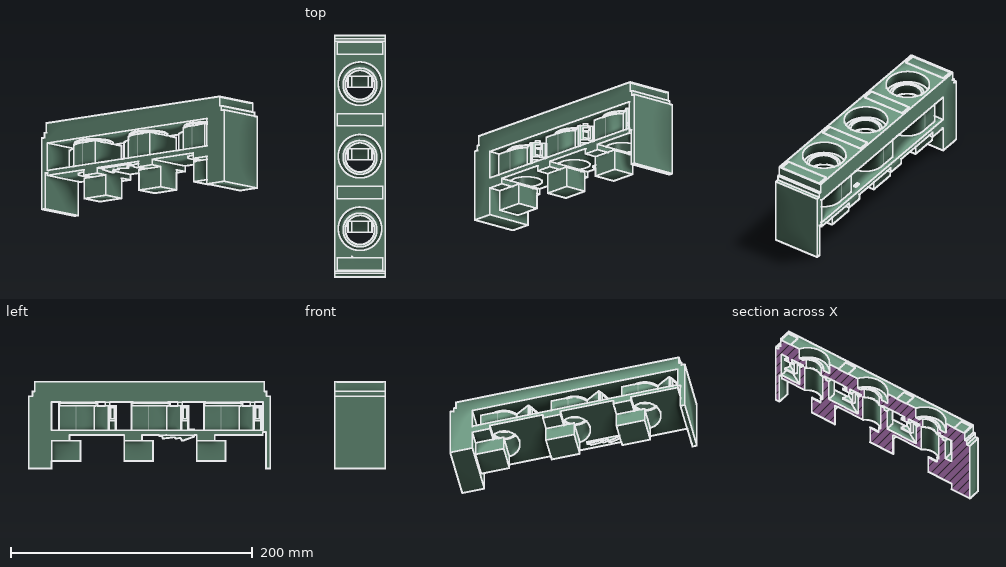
import cadquery as cq
import math

WIDTH = 42.0
LENGTH = 200.0
HEIGHT = 72.0

LID_LENGTH = 190.0
STEP_LENGTH = 194.0
LID_STEP_Z = 64.0
WALL_TOP_Z = 60.0
BACK_WALL_THICKNESS = 19.0
FRONT_WALL_THICKNESS = 3.8
FRONT_WINDOW_Y = -93.8
FRONT_GAP_TOP_Z = 30.2

LID_BOTTOM_Z = 55.0
SHELF_TOP_Z = 32.0
SHELF_BOTTOM_Z = 27.8

STATION_PITCH = 60.0
STATION_YS = [STATION_PITCH, 0.0, -STATION_PITCH]
HOLDER_OFFSET_Y = -1.0

FOOT_BACK_Y = 21.0
FOOT_LENGTH = 24.0
FOOT_WIDTH = 20.0
FOOT_BOTTOM_Z = 6.2
NECK_LENGTH = 15.0
NECK_BOTTOM_Z = 23.2
FOOT_GROOVE_WIDTH = 14.0
FOOT_GROOVE_DEPTH = 0.5

POCKET_DIAMETER = 36.0
POCKET_FLOOR_Z = 61.5
LABEL_WIDTH = 38.0
LABEL_LENGTH = 10.0
LABEL_DEPTH = 0.5
END_LABEL_Y = 89.2
INNER_LABEL_Y = STATION_PITCH / 2

BODY_RADIUS = 16.8
BODY_TOP_Z = 52.0
BODY_BACK_Y = 15.0
BODY_CREASE_Y = 1.0
COLLAR_DIAMETER = 32.0
COLLAR_TOP_Z = 54.0
RING_DIAMETER = 29.0
RIM_DIAMETER = 28.0
RIM_TOP_Z = 63.5
BORE_DIAMETER = 24.0
LOWER_BORE_DIAMETER = 26.0

CHANNEL_ANGLE = 30.0
CHANNEL_END_X = -11.2
CHANNEL_END_Y = -29.2
CHANNEL_WIDTH = 13.8
CHANNEL_LENGTH = 18.0
FIN_THICKNESS = 1.5
CAGE_BOTTOM_Z = 39.8
CAGE_LENGTH = 8.0
CAGE_OVERHANG = 0.5
CAGE_WALL = 1.5
CAGE_SIDE_WALL = 2.5
SCREW_DIAMETER = 4.0
SCREW_SETBACK = 4.5

RIB_THICKNESS = 2.0
RIB_X = 14.0
RIB_OUTLINE = [
    (-32.5, 32.8),
    (-37.2, 32.8),
    (-37.2, 26.5),
    (-27.8, 23.2),
    (-26.8, 23.2),
    (-25.5, 25.5),
    (-21.5, 24.8),
    (-20.5, 26.0),
    (-11.0, 24.8),
    (-10.5, 26.8),
    (-8.0, 26.8),
    (-8.0, 30.0),
    (-32.5, 30.0),
]


def block(x_range, y_range, z_range):
    """Axis-aligned box between the given limits."""
    size = [high - low for low, high in (x_range, y_range, z_range)]
    return cq.Workplane("XY").box(*size, centered=False).translate((x_range[0], y_range[0], z_range[0]))


def cylinder(diameter, center, z_low, z_high):
    """Upright cylinder between two heights."""
    return (
        cq.Workplane("XY", origin=(center[0], center[1], z_low))
        .circle(diameter / 2)
        .extrude(z_high - z_low)
    )


def centered(width):
    return (-width / 2, width / 2)


def housing():
    full_width = centered(WIDTH)
    front_y = -LENGTH / 2
    window_back_y = LENGTH / 2 - BACK_WALL_THICKNESS
    gap_front_y = front_y + FRONT_WALL_THICKNESS

    shell = block(full_width, centered(LENGTH), (0, WALL_TOP_Z))
    shell = shell.union(block(full_width, centered(STEP_LENGTH), (LID_BOTTOM_Z, LID_STEP_Z)))
    shell = shell.union(block(full_width, centered(LID_LENGTH), (LID_BOTTOM_Z, HEIGHT)))
    window = block(full_width, (FRONT_WINDOW_Y, window_back_y), (SHELF_TOP_Z, LID_BOTTOM_Z))
    underside = block(full_width, (FRONT_WINDOW_Y, window_back_y), (0, SHELF_BOTTOM_Z))
    front_gap = block(full_width, (gap_front_y, FRONT_WINDOW_Y), (0, FRONT_GAP_TOP_Z))
    shell = shell.cut(window).cut(underside).cut(front_gap)

    for y in (END_LABEL_Y, INNER_LABEL_Y, -INNER_LABEL_Y, -END_LABEL_Y):
        label_y = (y - LABEL_LENGTH / 2, y + LABEL_LENGTH / 2)
        shell = shell.cut(block(centered(LABEL_WIDTH), label_y, (HEIGHT - LABEL_DEPTH, HEIGHT)))
    return shell


def foot():
    """Neck of full width with a narrower foot that reaches further forward."""
    foot_y = (FOOT_BACK_Y - FOOT_LENGTH, FOOT_BACK_Y)
    neck_y = (FOOT_BACK_Y - NECK_LENGTH, FOOT_BACK_Y)
    neck = block(centered(WIDTH), neck_y, (NECK_BOTTOM_Z, SHELF_BOTTOM_Z))
    lug = block(centered(FOOT_WIDTH), foot_y, (FOOT_BOTTOM_Z, NECK_BOTTOM_Z))
    groove_z = (NECK_BOTTOM_Z - FOOT_GROOVE_DEPTH, NECK_BOTTOM_Z)
    groove = block(centered(FOOT_GROOVE_WIDTH), (foot_y[0], neck_y[0]), groove_z)
    return neck.union(lug.cut(groove))


def screw_terminal():
    """Built along Y with its open end at the origin, then turned and moved into place."""
    channel_z = (SHELF_TOP_Z, BODY_TOP_Z)
    cage_y = (-CAGE_OVERHANG, CAGE_LENGTH - CAGE_OVERHANG)
    cage_z = (CAGE_BOTTOM_Z, BODY_TOP_Z)
    inner_width = CHANNEL_WIDTH - 2 * FIN_THICKNESS
    opening_width = inner_width - 2 * CAGE_SIDE_WALL
    opening_z = (cage_z[0] + CAGE_WALL, cage_z[1] - CAGE_WALL)

    terminal = block(centered(CHANNEL_WIDTH), (0, CHANNEL_LENGTH), channel_z)
    terminal = terminal.cut(block(centered(inner_width), (0, CHANNEL_LENGTH), channel_z))
    cage = block(centered(inner_width), cage_y, cage_z)
    cage = cage.cut(block(centered(opening_width), cage_y, opening_z))
    screw = cylinder(SCREW_DIAMETER, (0, SCREW_SETBACK), opening_z[1], LID_BOTTOM_Z)
    terminal = terminal.union(cage).union(screw)
    terminal = terminal.rotate((0, 0, 0), (0, 0, 1), -CHANNEL_ANGLE)
    return terminal.translate((CHANNEL_END_X, CHANNEL_END_Y, 0))


def fuse_holder():
    center = (0, HOLDER_OFFSET_Y)
    half_width = math.sqrt(BODY_RADIUS**2 - (BODY_CREASE_Y - HOLDER_OFFSET_Y) ** 2)
    body = (
        cq.Workplane("XY", origin=(0, 0, SHELF_TOP_Z))
        .moveTo(-half_width, BODY_BACK_Y)
        .lineTo(-half_width, BODY_CREASE_Y)
        .threePointArc((0, HOLDER_OFFSET_Y - BODY_RADIUS), (half_width, BODY_CREASE_Y))
        .lineTo(half_width, BODY_BACK_Y)
        .close()
        .extrude(BODY_TOP_Z - SHELF_TOP_Z)
    )
    collar = cylinder(COLLAR_DIAMETER, center, BODY_TOP_Z, COLLAR_TOP_Z)
    ring = cylinder(RING_DIAMETER, center, COLLAR_TOP_Z, LID_BOTTOM_Z)
    rim = cylinder(RIM_DIAMETER, center, LID_BOTTOM_Z, RIM_TOP_Z)
    return body.union(screw_terminal()).union(collar).union(ring).union(rim)


def toothed_rib():
    return cq.Workplane("YZ", origin=(RIB_X, 0, 0)).polyline(RIB_OUTLINE).close().extrude(RIB_THICKNESS)


pocket = cylinder(POCKET_DIAMETER, (0, 0), POCKET_FLOOR_Z, HEIGHT)
upper_bore = cylinder(BORE_DIAMETER, (0, HOLDER_OFFSET_Y), COLLAR_TOP_Z, HEIGHT)
lower_bore = cylinder(LOWER_BORE_DIAMETER, (0, HOLDER_OFFSET_Y), SHELF_BOTTOM_Z, COLLAR_TOP_Z)
bore = upper_bore.union(lower_bore)
holder = fuse_holder()
station_foot = foot()

result = housing()
for station_y in STATION_YS:
    position = (0, station_y, 0)
    result = result.cut(pocket.translate(position))
    result = result.union(holder.translate(position))
    result = result.cut(bore.translate(position))
    result = result.union(station_foot.translate(position))
result = result.union(toothed_rib())